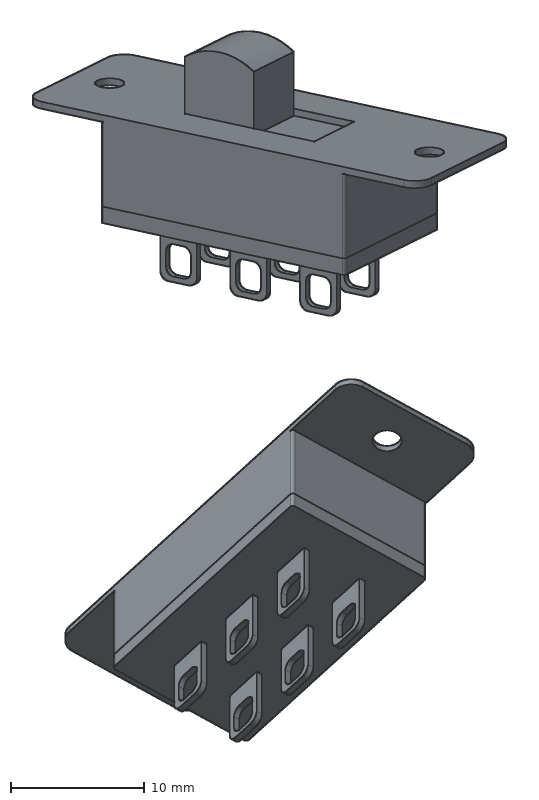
import cadquery as cq


plate_length = 35.5
plate_width = 12.75
plate_thickness = 0.57
plate_corner_radius = 1.5
mounting_hole_diameter = 2.2
mounting_hole_spacing = 28.72
housing_length = 21.95
housing_depth = 7.28
housing_edge_radius = 0.25

window_length = 11.65
window_depth = plate_thickness

slider_length = 6.2
slider_width = 5.45
slider_height = 5.45
slider_crown_rise = 0.95
slider_center_x = (slider_length - window_length) / 2

base_thickness = 1.3
base_bottom_z = -housing_depth - base_thickness

terminal_width = 3.3
terminal_thickness = 0.5
terminal_length = 4.95
terminal_corner_radius = 0.75
terminal_pitch = 6.3
terminal_row_spacing = 5.25
terminals_per_row = 3
eyelet_width = 2.25
eyelet_height = 2.55
eyelet_corner_radius = 0.67
eyelet_tip_margin = 0.45


def block_below(top_z, length, width, height, edge_radius):
    """Centred block hanging down from top_z, with rounded vertical edges."""
    return (
        cq.Workplane("XY", origin=(0, 0, top_z))
        .rect(length, width)
        .extrude(-height)
        .edges("|Z")
        .fillet(edge_radius)
    )


def make_housing():
    """Flanged plate and the box under it, with a shallow window that seats the slider."""
    plate = block_below(0, plate_length, plate_width, plate_thickness, plate_corner_radius)
    box = block_below(0, housing_length, plate_width, housing_depth, housing_edge_radius)
    mounting_holes = (
        cq.Workplane("XY")
        .pushPoints([(-mounting_hole_spacing / 2, 0), (mounting_hole_spacing / 2, 0)])
        .circle(mounting_hole_diameter / 2)
        .extrude(-plate_thickness)
    )
    window = cq.Workplane("XY").rect(window_length, slider_width).extrude(-window_depth)
    return plate.union(box).cut(mounting_holes).cut(window)


def make_slider():
    """Knob with an arched top, resting on the floor of the window."""
    half_length = slider_length / 2
    shoulder_z = slider_height - slider_crown_rise
    return (
        cq.Workplane("XZ", origin=(slider_center_x, 0, 0))
        .moveTo(-half_length, -window_depth)
        .lineTo(half_length, -window_depth)
        .lineTo(half_length, shoulder_z)
        .threePointArc((0, slider_height), (-half_length, shoulder_z))
        .close()
        .extrude(slider_width / 2, both=True)
    )


def make_base():
    """Flat board with the same outline as the housing box."""
    return block_below(-housing_depth, housing_length, plate_width, base_thickness, housing_edge_radius)


def make_terminal(x, y):
    """Lug centred on (x, y) under the base, with a rounded tip and a rounded eyelet."""
    tip_z = base_bottom_z - terminal_length
    lug = (
        cq.Workplane("XY", origin=(x, y, base_bottom_z))
        .rect(terminal_width, terminal_thickness)
        .extrude(-terminal_length)
        .faces("<Z")
        .edges("|Y")
        .fillet(terminal_corner_radius)
    )
    eyelet = (
        cq.Workplane("XZ", origin=(x, y, tip_z + eyelet_tip_margin + eyelet_height / 2))
        .rect(eyelet_width, eyelet_height)
        .extrude(terminal_thickness, both=True)
        .edges("|Y")
        .fillet(eyelet_corner_radius)
    )
    return lug.cut(eyelet)


housing = make_housing()
slider = make_slider()
base = make_base()

terminals = []
for row_y in (-terminal_row_spacing / 2, terminal_row_spacing / 2):
    for column in range(terminals_per_row):
        column_x = (column - (terminals_per_row - 1) / 2) * terminal_pitch
        terminals.append(make_terminal(column_x, row_y).val())

result = cq.Compound.makeCompound([housing.val(), slider.val(), base.val(), *terminals])